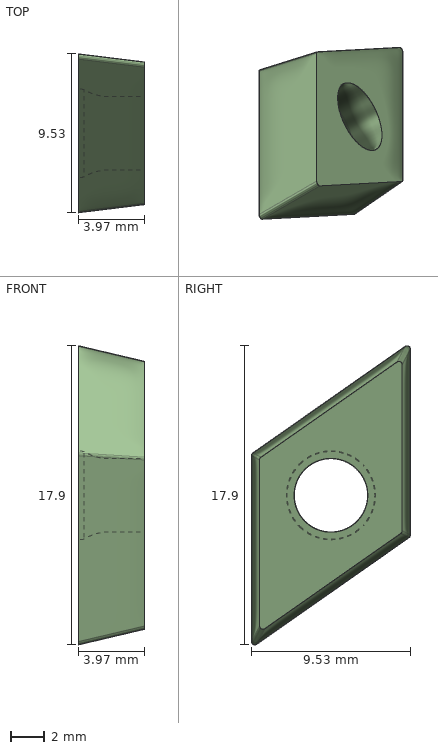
import cadquery as cq
import math

inscribed_diameter = 9.525
thickness = 3.97
acute_angle = 55
clearance_angle = 7
nose_radius = 0.2

bore_diameter = 4.4
seat_diameter = 5.26
mouth_diameter = 5.34
lip_depth = 0.33
seat_depth = 1.48

front_x = -thickness / 2
back_x = thickness / 2


def rhombus_corners():
    """Corners of the large face as (y, z), two sides parallel to Z."""
    side = inscribed_diameter / math.sin(math.radians(acute_angle))
    side_lean = side * math.cos(math.radians(acute_angle))
    half_width = inscribed_diameter / 2
    far_end = (side + side_lean) / 2
    near_end = (side - side_lean) / 2
    return [
        (half_width, far_end),
        (half_width, -near_end),
        (-half_width, -far_end),
        (-half_width, near_end),
    ]


def make_body():
    """Tapered rhombic plate with its four flank corners rounded."""
    body = (
        cq.Workplane("YZ", origin=(front_x, 0, 0))
        .polyline(rhombus_corners())
        .close()
        .extrude(thickness, taper=clearance_angle)
    )
    return body.edges("not #X").fillet(nose_radius)


def make_hole():
    """Through hole around X: conical lip, then an arc that runs tangent into the bore."""
    bore_radius = bore_diameter / 2
    seat_radius = seat_diameter / 2
    flare = seat_radius - bore_radius
    arc_radius = (flare**2 + seat_depth**2) / (2 * flare)
    half_sweep = math.asin(seat_depth / arc_radius) / 2
    seat_start_x = front_x + lip_depth
    seat_end_x = seat_start_x + seat_depth
    arc_middle = (
        seat_end_x - arc_radius * math.sin(half_sweep),
        bore_radius + arc_radius * (1 - math.cos(half_sweep)),
    )
    return (
        cq.Workplane("XY")
        .moveTo(front_x, 0)
        .lineTo(front_x, mouth_diameter / 2)
        .lineTo(seat_start_x, seat_radius)
        .threePointArc(arc_middle, (seat_end_x, bore_radius))
        .lineTo(back_x, bore_radius)
        .lineTo(back_x, 0)
        .close()
        .revolve(360, (0, 0, 0), (1, 0, 0))
    )


result = make_body().cut(make_hole())